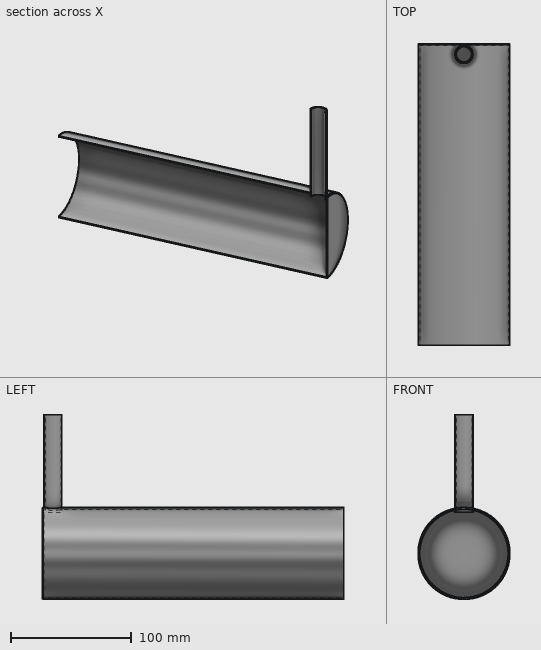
import cadquery as cq

housing_diameter = 76.2
housing_length = 250.0
wall = 1.5
rear_chamfer = 1.0

pipe_diameter = 15.0
pipe_wall = 1.2
pipe_top = 115.0
pipe_length = 80.8

housing_radius = housing_diameter / 2
pipe_radius = pipe_diameter / 2
pipe_bottom = pipe_top - pipe_length
pipe_y = housing_length - wall - pipe_radius


def make_pipe_envelope():
    """Full round bar that the pipe occupies, including its bore."""
    return (
        cq.Workplane("XY", origin=(0, pipe_y, pipe_bottom))
        .circle(pipe_radius)
        .extrude(pipe_length)
    )


def make_housing():
    """Cup-shaped tube, open at the front, with a chamfered rear rim and a hole for the pipe."""
    outside = (
        cq.Workplane("XZ")
        .circle(housing_radius)
        .extrude(-housing_length)
        .faces(">Y")
        .edges()
        .chamfer(rear_chamfer)
    )
    cavity = cq.Workplane("XZ").circle(housing_radius - wall).extrude(-(housing_length - wall))
    return outside.cut(cavity).cut(make_pipe_envelope())


def make_pipe():
    """Straight pipe, open at both ends."""
    bore = (
        cq.Workplane("XY", origin=(0, pipe_y, pipe_bottom))
        .circle(pipe_radius - pipe_wall)
        .extrude(pipe_length)
    )
    return make_pipe_envelope().cut(bore)


housing = make_housing()
pipe = make_pipe()

result = cq.Compound.makeCompound([housing.val(), pipe.val()])